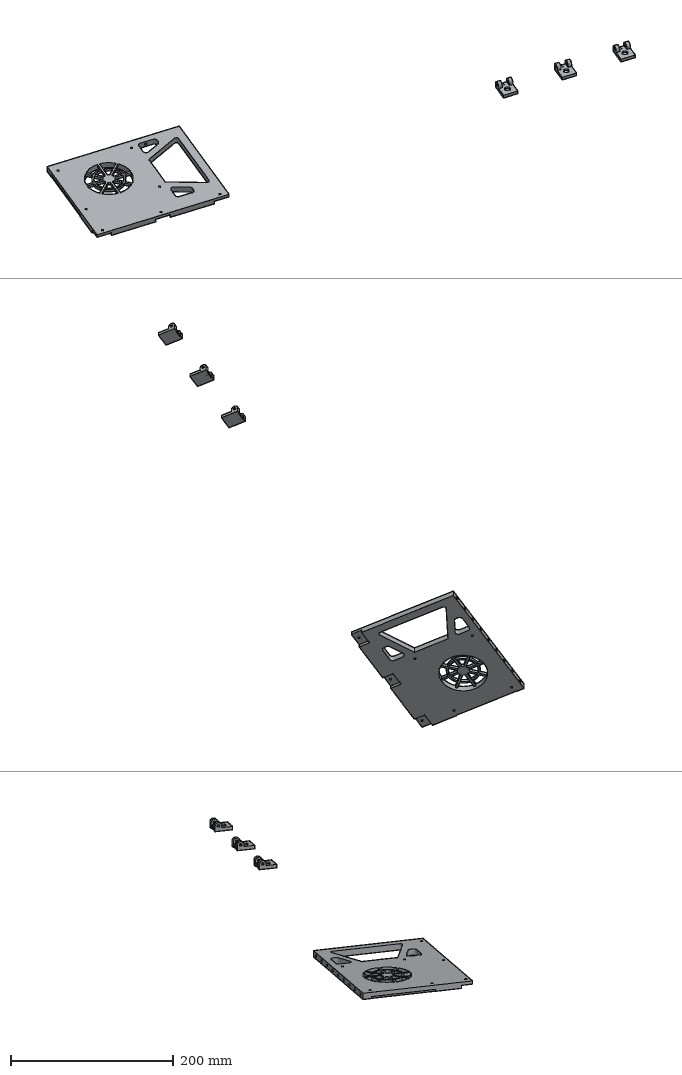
import cadquery as cq

panel_width = 143.63
panel_length = 180.0
panel_thickness = 8.2
panel_top = 25.55
panel_bottom = panel_top - panel_thickness
panel_middle_z = panel_bottom + panel_thickness / 2

window_middle_x = 65.0
window_front_y = 119.0
window_length = 50.0
window_front_half_width = 23.5
window_rear_half_width = 48.5
window_corner_radius = 3.0
window_lean = (window_rear_half_width - window_front_half_width) / window_length

side_window_outer = 56.0
side_window_inner = 34.0
side_window_length = 25.0
side_window_corner_radius = 4.0

fan_x = 53.0
fan_y = 59.0
fan_radius = 30.0
guard_thickness = 4.0
guard_ring_radius = 21.0
guard_ring_width = 2.5
guard_hub_radius = 7.5
spoke_width = 3.0
spoke_count = 8
spoke_overlap = 1.0

screw_hole_diameter = 2.5
fan_screw_pitch_x = 81.0
fan_screw_pitch_y = 100.0
edge_screw_inset = 5.5

edge_hole_diameter = 3.0
edge_hole_depth = 10.0
edge_hole_pitch = 20.0
edge_hole_count = 9

relief_start_x = 11.0
relief_end_x = 95.0
relief_depth = 0.5
relief_height = 2.5

bracket_count = 3
bracket_pitch = 80.0
bracket_x = 73.0
bracket_length = 23.0
bracket_width = 19.5
bracket_height = 11.5
flange_thickness = 4.5
ear_radius = 4.5
ear_length = 2 * ear_radius
ear_thickness = 5.0
ear_axis_z = bracket_height - ear_radius
ear_gap = bracket_width - 2 * ear_thickness
throat_setback = 1.0
pin_hole_diameter = 3.0
flange_hole_x = 13.7
flange_hole_diameter = 7.0
flange_hole_depth = 2.5
front_hole_diameter = 2.0
front_hole_depth = 4.0
front_hole_z = 2.5
overall_length = 755.9
last_bracket_y = overall_length - bracket_width / 2

seat_clearance = 0.5
seat_length_x = bracket_length - ear_length + seat_clearance
seat_width_y = bracket_width + seat_clearance
seat_depth = 4.0
first_seat_y = 10.0
seat_ys = [first_seat_y + index * bracket_pitch for index in range(bracket_count)]


def panel_plane():
    return cq.Workplane("XY").workplane(offset=panel_bottom)


def corner_box(length_x, length_y, length_z):
    return cq.Workplane("XY").box(length_x, length_y, length_z, centered=False)


def handle_window():
    rear_y = window_front_y + window_length
    outline = [
        (window_middle_x - window_front_half_width, window_front_y),
        (window_middle_x + window_front_half_width, window_front_y),
        (window_middle_x + window_rear_half_width, rear_y),
        (window_middle_x - window_rear_half_width, rear_y),
    ]
    prism = panel_plane().polyline(outline).close().extrude(panel_thickness)
    return prism.edges("|Z and >Y").fillet(window_corner_radius)


def side_window(side):
    """Window on the left (side = -1) or right (side = 1), with its inner edge along the handle window."""
    outer_x = window_middle_x + side * side_window_outer
    inner_x = window_middle_x + side * side_window_inner
    rear_y = window_front_y + side_window_length
    rear_inner_x = inner_x + side * window_lean * side_window_length
    outline = [
        (inner_x, window_front_y),
        (outer_x, window_front_y),
        (outer_x, rear_y),
        (rear_inner_x, rear_y),
    ]
    prism = panel_plane().polyline(outline).close().extrude(panel_thickness)
    return prism.edges("|Z").fillet(side_window_corner_radius)


def fan_guard():
    """Hub, ring and spokes; the spoke ends reach into the panel."""
    plane = cq.Workplane("XY").workplane(offset=panel_top - guard_thickness).center(fan_x, fan_y)
    hub = plane.circle(guard_hub_radius).extrude(guard_thickness)
    ring_bore_radius = guard_ring_radius - guard_ring_width
    ring = plane.circle(guard_ring_radius).circle(ring_bore_radius).extrude(guard_thickness)
    guard = hub.union(ring)
    bar_length = 2 * (fan_radius + spoke_overlap)
    bar = plane.rect(bar_length, spoke_width).extrude(guard_thickness)
    for index in range(spoke_count // 2):
        angle = index * 360 / spoke_count
        guard = guard.union(bar.rotate((fan_x, fan_y, 0), (fan_x, fan_y, 1), angle))
    return guard


def screw_holes():
    points = [
        (fan_x + side_x * fan_screw_pitch_x / 2, fan_y + side_y * fan_screw_pitch_y / 2)
        for side_x in (-1, 1)
        for side_y in (-1, 1)
    ]
    points += [(panel_width - edge_screw_inset, y) for y in seat_ys]
    return panel_plane().pushPoints(points).circle(screw_hole_diameter / 2).extrude(panel_thickness)


def left_edge_holes():
    first_y = panel_length / 2 - edge_hole_pitch * (edge_hole_count - 1) / 2
    points = [(first_y + index * edge_hole_pitch, panel_middle_z) for index in range(edge_hole_count)]
    return cq.Workplane("YZ").pushPoints(points).circle(edge_hole_diameter / 2).extrude(edge_hole_depth)


def front_relief():
    relief = corner_box(relief_end_x - relief_start_x, relief_depth, relief_height)
    return relief.translate((relief_start_x, 0, panel_bottom))


def bracket_seat(middle_y):
    seat = corner_box(seat_length_x, seat_width_y, seat_depth)
    return seat.translate((panel_width - seat_length_x, middle_y - seat_width_y / 2, panel_bottom))


def make_panel():
    panel = panel_plane().rect(panel_width, panel_length, centered=False).extrude(panel_thickness)
    panel = panel.cut(handle_window())
    for side in (-1, 1):
        panel = panel.cut(side_window(side))
    fan_opening = panel_plane().center(fan_x, fan_y).circle(fan_radius).extrude(panel_thickness)
    panel = panel.cut(fan_opening).union(fan_guard())
    panel = panel.cut(front_relief())
    for middle_y in seat_ys:
        panel = panel.cut(bracket_seat(middle_y))
    return panel.cut(screw_holes()).cut(left_edge_holes())


def bracket_ears():
    """Round-topped block over the full width, with a gap between the ears."""
    side_plane = cq.Workplane("XZ").workplane(offset=-bracket_width / 2)
    block = (
        side_plane.lineTo(ear_length, 0)
        .lineTo(ear_length, ear_axis_z)
        .threePointArc((ear_radius, bracket_height), (0, ear_axis_z))
        .close()
        .extrude(bracket_width)
    )
    gap = corner_box(ear_length, ear_gap, bracket_height).translate((0, -ear_gap / 2, flange_thickness))
    pin_hole = side_plane.center(ear_radius, ear_axis_z).circle(pin_hole_diameter / 2).extrude(bracket_width)
    return block.cut(gap).cut(pin_hole)


def make_bracket():
    """Bracket with its ears at X = 0, its underside at Z = 0 and its middle at Y = 0."""
    flange = corner_box(bracket_length, bracket_width, flange_thickness)
    bracket = flange.translate((0, -bracket_width / 2, 0)).union(bracket_ears())
    throat = corner_box(throat_setback, ear_gap, flange_thickness).translate((0, -ear_gap / 2, 0))
    flange_hole = (
        cq.Workplane("XY")
        .workplane(offset=flange_thickness - flange_hole_depth)
        .center(flange_hole_x, 0)
        .circle(flange_hole_diameter / 2)
        .extrude(flange_hole_depth)
    )
    front_hole = (
        cq.Workplane("YZ").center(0, front_hole_z).circle(front_hole_diameter / 2).extrude(front_hole_depth)
    )
    return bracket.cut(throat).cut(flange_hole).cut(front_hole)


panel = make_panel()
bracket = make_bracket()
brackets = [
    bracket.translate((bracket_x, last_bracket_y - index * bracket_pitch, 0))
    for index in range(bracket_count)
]

result = cq.Compound.makeCompound([panel.val(), *[copy.val() for copy in brackets]])